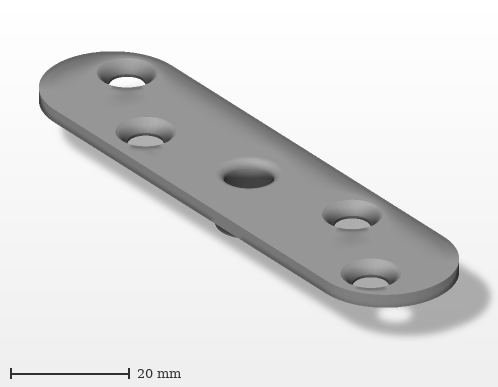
import cadquery as cq

plate_length = 100.0
plate_width = 25.0
plate_thickness = 2.5

total_height = 9.5
boss_diameter = 11.5
boss_root_radius = 1.5
bore_diameter = 8.38
bore_rim_radius = 1.5

screw_hole_diameter = 6.2
countersink_diameter = 10.2
countersink_angle = 90.0
outer_hole_x = 40.0
inner_hole_x = 22.0
hole_offset_y = 5.0
screw_hole_centers = [
    (-outer_hole_x, hole_offset_y),
    (-inner_hole_x, -hole_offset_y),
    (inner_hole_x, hole_offset_y),
    (outer_hole_x, -hole_offset_y),
]


def make_plate():
    """Flat plate with semicircular ends."""
    return (
        cq.Workplane("XY")
        .workplane(offset=-plate_thickness)
        .slot2D(plate_length, plate_width)
        .extrude(plate_thickness)
    )


def add_boss(plate):
    """Join a boss to the underside, flared by a concave fillet at its root."""
    radius = boss_diameter / 2
    flare_radius = radius + boss_root_radius
    embedded_top = -plate_thickness / 2
    boss = (
        cq.Workplane("XZ")
        .moveTo(0, -total_height)
        .lineTo(radius, -total_height)
        .lineTo(radius, -plate_thickness - boss_root_radius)
        .radiusArc((flare_radius, -plate_thickness), boss_root_radius)
        .lineTo(flare_radius, embedded_top)
        .lineTo(0, embedded_top)
        .close()
        .revolve()
    )
    return plate.union(boss)


def cut_bore(body):
    """Bore through the boss, with a rounded rim at the top face."""
    radius = bore_diameter / 2
    bore = (
        cq.Workplane("XZ")
        .moveTo(0, -total_height)
        .lineTo(radius, -total_height)
        .lineTo(radius, -bore_rim_radius)
        .radiusArc((radius + bore_rim_radius, 0), bore_rim_radius)
        .lineTo(0, 0)
        .close()
        .revolve()
    )
    return body.cut(bore)


def cut_screw_holes(body):
    """Countersunk through holes, sunk from the top face."""
    return (
        body.faces(">Z")
        .workplane(origin=(0, 0, 0))
        .pushPoints(screw_hole_centers)
        .cskHole(screw_hole_diameter, countersink_diameter, countersink_angle)
    )


result = cut_screw_holes(cut_bore(add_boss(make_plate())))